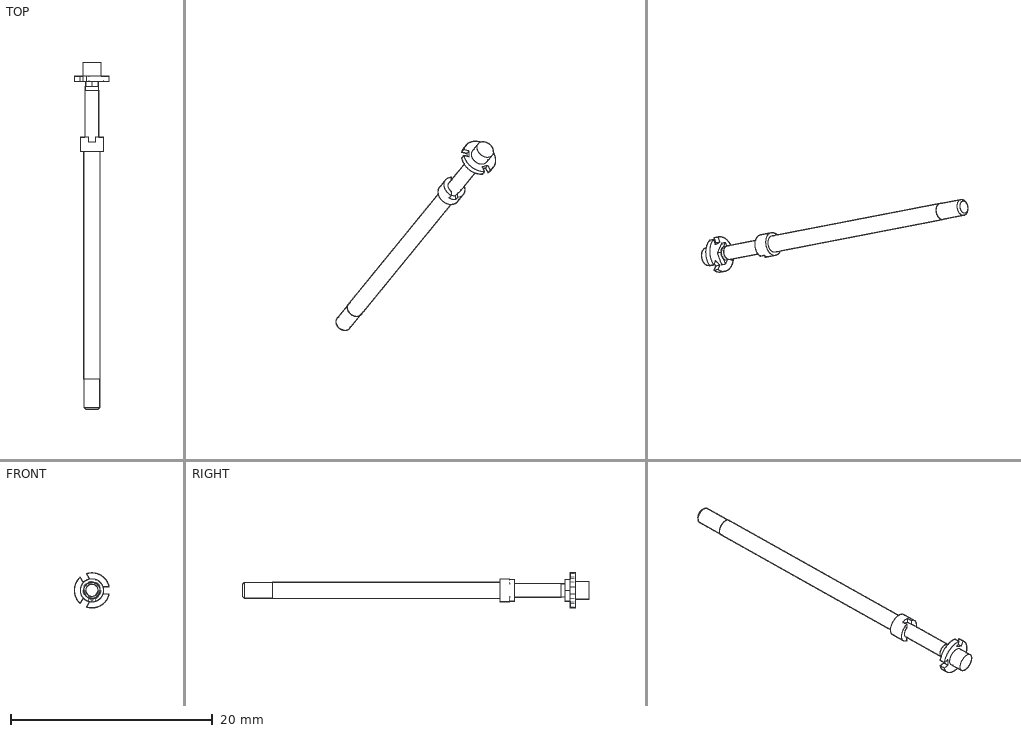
import cadquery as cq
import math


FLANGE_START = 1.35
FLANGE_END = 1.9
KEY_END = 2.4
NECK_END = 2.8
COLLAR_START = 7.4
COLLAR_END = 8.85
TIP_START = 31.4
TOTAL_LENGTH = 34.4

HEAD_RADIUS = 0.9
FLANGE_RADIUS = 1.75
NECK_RADIUS = 0.675
SPINDLE_RADIUS = 0.7
COLLAR_RADIUS = 1.15
BARREL_RADIUS = 0.825
TIP_RADIUS = 0.8
TIP_CHAMFER = 0.2

SLOT_COUNT = 3
SLOT_WIDTH = 0.7
SLOT_FLOOR_DISTANCE = COLLAR_RADIUS

KEY_HALF_HEIGHT = 1.1
KEY_TIP_ANGLE = 60

NOTCH_WIDTH = 0.7
NOTCH_LENGTH = 0.5


def section_plane(distance):
    """Plane across the axis, facing the tip, with its local X along the part's X."""
    return cq.Plane(origin=(0, -distance, 0), xDir=(1, 0, 0), normal=(0, -1, 0))


def cylinder(start, end, radius):
    return cq.Workplane(section_plane(start)).circle(radius).extrude(end - start)


def make_flange():
    """Round flange whose rim is cut by evenly spaced slots with flat floors, one of them on +X."""
    thickness = FLANGE_END - FLANGE_START
    flange = cylinder(FLANGE_START, FLANGE_END, FLANGE_RADIUS)
    slot = (
        cq.Workplane(section_plane(FLANGE_START))
        .center(SLOT_FLOOR_DISTANCE + FLANGE_RADIUS / 2, 0)
        .rect(FLANGE_RADIUS, SLOT_WIDTH)
        .extrude(thickness)
    )
    for index in range(SLOT_COUNT):
        angle = index * 360 / SLOT_COUNT
        flange = flange.cut(slot.rotate((0, 0, 0), (0, 1, 0), angle))
    return flange


def make_key():
    """Rhombic plate with its sharp corners pointing up and down."""
    half_width = KEY_HALF_HEIGHT * math.tan(math.radians(KEY_TIP_ANGLE / 2))
    corners = [(0, KEY_HALF_HEIGHT), (half_width, 0), (0, -KEY_HALF_HEIGHT), (-half_width, 0)]
    return (
        cq.Workplane(section_plane(FLANGE_END))
        .polyline(corners)
        .close()
        .extrude(KEY_END - FLANGE_END)
    )


def make_collar():
    """Collar with two notches that open toward the head and reach down to the spindle."""
    notches = (
        cq.Workplane(section_plane(COLLAR_START))
        .rect(NOTCH_WIDTH, 2 * COLLAR_RADIUS)
        .extrude(NOTCH_LENGTH)
    )
    return cylinder(COLLAR_START, COLLAR_END, COLLAR_RADIUS).cut(notches)


def make_tip():
    """Slightly thinner end of the barrel with a chamfered rim."""
    return cylinder(TIP_START, TOTAL_LENGTH, TIP_RADIUS).faces("<Y").edges().chamfer(TIP_CHAMFER)


head = cylinder(0, FLANGE_START, HEAD_RADIUS)
neck = cylinder(KEY_END, NECK_END, NECK_RADIUS)
spindle = cylinder(NECK_END, COLLAR_END, SPINDLE_RADIUS)
barrel = cylinder(COLLAR_END, TIP_START, BARREL_RADIUS)

result = (
    head.union(make_flange())
    .union(make_key())
    .union(neck)
    .union(spindle)
    .union(make_collar())
    .union(barrel)
    .union(make_tip())
)